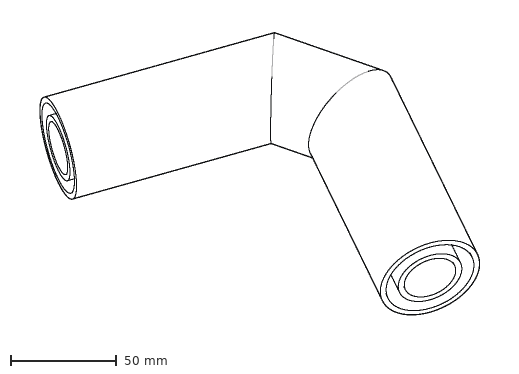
import cadquery as cq

outer_pipe_diameter = 50.04
outer_pipe_bore = 44.2
inner_pipe_diameter = 32.0
inner_pipe_bore = 25.91

overall_length = 161.54
straight_length = 107.95

leg_end = overall_length - outer_pipe_diameter / 2
joint_offset = leg_end - straight_length


def centreline():
    """Path from the open -Y end, across the diagonal, to the open +X end."""
    return cq.Workplane("XY").polyline(
        [
            (0, -leg_end),
            (0, -joint_offset),
            (joint_offset, 0),
            (leg_end, 0),
        ]
    )


def mitred_rod(diameter):
    """Solid round bar swept along the path with sharp mitred corners."""
    start_plane = cq.Workplane("XZ", origin=(0, -leg_end, 0))
    return start_plane.circle(diameter / 2).sweep(centreline(), transition="right")


def mitred_pipe(diameter, bore):
    """Open-ended pipe with a bore that follows the same mitred path."""
    return mitred_rod(diameter).cut(mitred_rod(bore))


outer_pipe = mitred_pipe(outer_pipe_diameter, outer_pipe_bore)
inner_pipe = mitred_pipe(inner_pipe_diameter, inner_pipe_bore)

result = cq.Compound.makeCompound([*outer_pipe.solids().vals(), *inner_pipe.solids().vals()])